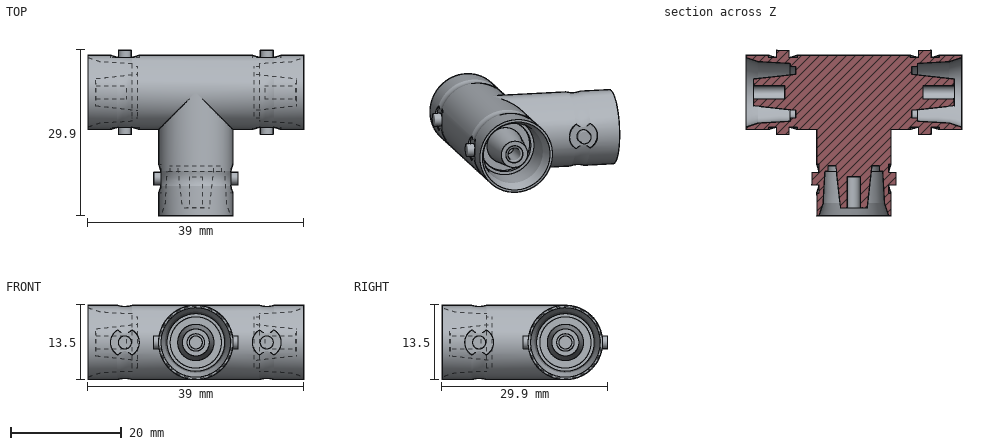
import cadquery as cq
body_diameter = 13.46
run_length = 39.0
branch_length = 22.27

groove_from_mouth = 6.7
groove_width = 2.7
groove_depth = 0.22
flat_diameter = 5.2
flat_height = 6.31
pin_diameter = 2.36
pin_height = 7.62
pin_fillet = 0.1
pin_embedding = 0.4

mouth_diameter = 12.55
line_diameter = 11.05
line_depth = 2.25
floor_diameter = 10.4
floor_depth = 8.0
recess_diameter = 9.25
recess_depth = 9.0

insulator_tip_diameter = 4.87
insulator_base_diameter = 6.56
insulator_tip_depth = 1.37
contact_outer_diameter = 3.15
contact_outer_fillet = 0.15
contact_hole_diameter = 2.34
contact_hole_fillet = 0.1
contact_hole_depth = 7.0

body_radius = body_diameter / 2

arms = [
    (cq.Vector(-1, 0, 0), cq.Vector(0, 1, 0), run_length / 2),
    (cq.Vector(1, 0, 0), cq.Vector(0, 1, 0), run_length / 2),
    (cq.Vector(0, -1, 0), cq.Vector(1, 0, 0), branch_length),
]


def make_mouth_plane(arm_direction, pin_direction, length):
    """Plane at a mouth: local X along the pins, local Z out of the mouth."""
    return cq.Plane(origin=arm_direction * length, xDir=pin_direction, normal=arm_direction)


def make_arm(mouth, length):
    return cq.Workplane(mouth).circle(body_radius).extrude(-length)


def start_profile(mouth):
    """Half-section plane: local X is radius, local Y is distance out of the mouth."""
    return cq.Workplane(cq.Plane(origin=mouth.origin, xDir=mouth.xDir, normal=-mouth.yDir))


def revolve_profile(profile):
    return profile.close().revolve(360, (0, 0, 0), (0, 1, 0))


def make_groove(mouth):
    """Shallow ring with an arched floor."""
    near_edge = groove_width / 2 - groove_from_mouth
    far_edge = -groove_width / 2 - groove_from_mouth
    outside = body_radius + groove_depth
    return revolve_profile(
        start_profile(mouth)
        .moveTo(outside, near_edge)
        .lineTo(body_radius, near_edge)
        .threePointArc((body_radius - groove_depth, -groove_from_mouth), (body_radius, far_edge))
        .lineTo(outside, far_edge)
    )


def make_disc(mouth, side, diameter, bottom, top):
    """Cylinder square to the arm at the groove, between two heights above the arm axis."""
    outward = mouth.xDir * side
    centre = mouth.origin - mouth.zDir * groove_from_mouth + outward * bottom
    base = cq.Plane(origin=centre, xDir=mouth.zDir, normal=outward)
    return cq.Workplane(base).circle(diameter / 2).extrude(top - bottom)


def make_flat(mouth, side):
    return make_disc(mouth, side, flat_diameter, flat_height, body_radius + groove_depth)


def make_pin(mouth, side):
    pin = make_disc(mouth, side, pin_diameter, flat_height - pin_embedding, pin_height)
    tip_direction = mouth.xDir * side
    return pin.faces(cq.selectors.DirectionMinMaxSelector(tip_direction)).edges().fillet(pin_fillet)


def make_socket(mouth):
    """Tapered, stepped cavity that leaves the conical insulator standing in its middle."""
    return revolve_profile(
        start_profile(mouth)
        .moveTo(0, 0)
        .lineTo(mouth_diameter / 2, 0)
        .lineTo(line_diameter / 2, -line_depth)
        .lineTo(floor_diameter / 2, -floor_depth)
        .lineTo(recess_diameter / 2, -floor_depth)
        .lineTo(recess_diameter / 2, -recess_depth)
        .lineTo(insulator_base_diameter / 2, -recess_depth)
        .lineTo(insulator_tip_diameter / 2, -insulator_tip_depth)
        .lineTo(0, -insulator_tip_depth)
    )


def make_contact_cut(mouth):
    """Hole of the contact tube, whose tip is flush with the insulator and rounded on both edges."""
    outer_radius = contact_outer_diameter / 2
    hole_radius = contact_hole_diameter / 2
    tip = -insulator_tip_depth
    hole = revolve_profile(
        start_profile(mouth)
        .moveTo(0, tip)
        .lineTo(hole_radius + contact_hole_fillet, tip)
        .radiusArc((hole_radius, tip - contact_hole_fillet), -contact_hole_fillet)
        .lineTo(hole_radius, -contact_hole_depth)
        .lineTo(0, -contact_hole_depth)
    )
    outer_rounding = revolve_profile(
        start_profile(mouth)
        .moveTo(outer_radius, tip)
        .lineTo(outer_radius, tip - contact_outer_fillet)
        .radiusArc((outer_radius - contact_outer_fillet, tip), -contact_outer_fillet)
    )
    return hole.union(outer_rounding)


mouths = [make_mouth_plane(*arm) for arm in arms]

tee = cq.Workplane("XY")
for mouth, (_, _, length) in zip(mouths, arms):
    tee = tee.union(make_arm(mouth, length))

for mouth in mouths:
    tee = tee.cut(make_groove(mouth))
    tee = tee.cut(make_socket(mouth))
    tee = tee.cut(make_contact_cut(mouth))
    for side in (-1, 1):
        tee = tee.cut(make_flat(mouth, side))
        tee = tee.union(make_pin(mouth, side))

result = tee